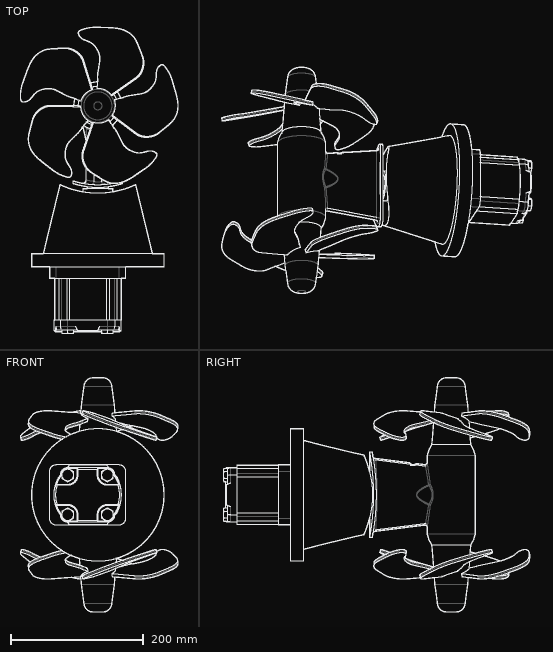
import cadquery as cq
import math


POD_RADIUS = 36.4
POD_STRAIGHT_Z = 59.0
SHOULDER_Z = 75.6
SHOULDER_RADIUS = 29.6
SHOULDER_BULGE = 1.0
NOSE_CONE_Z = 135.3
NOSE_CONE_RADIUS = 25.0
NOSE_ROUND_Z = 163.4
NOSE_ROUND_RADIUS = 21.2
POD_TIP_Z = 176.8
POD_TIP_RADIUS = 6.1

BLADE_COUNT = 5
BLADE_PITCH = 19.6
BLADE_RAKE = 4.0
BLADE_THICKNESS = 5.0
BLADE_MID_Z = 119.5
BLADE_START_ANGLE = 180.0

STRUT_HALF_WIDTH = 18.0
STRUT_ROOT_Y = -10.0
STRUT_ROOT_HALF_HEIGHT = 42.0
STRUT_END_Y = -120.0
STRUT_END_HALF_HEIGHT = 55.8
STRUT_NOSE_HALF_WIDTH = 5.5
STRUT_NOSE_HEIGHT = 2.3
STRUT_POD_FILLET = 3.0

JOINT_MARGIN = 2.0
SADDLE_JOINT_DEPTH = 10.0

HOUSING_ROOT_Y = -10.0
HOUSING_ROOT_RADIUS = 27.5
HOUSING_END_Y = -60.0
HOUSING_END_RADIUS = 16.2

PLUG_Y = -58.0
PLUG_RADIUS = 5.5
PLUG_BOTTOM_Z = 40.0
PLUG_CONE_HEIGHT = 4.0

TUNNEL_RADIUS = 131.5
SADDLE_OUTER_RADIUS = 123.0
SADDLE_THICKNESS = 4.0
SADDLE_HALF_WIDTH = 37.5
SADDLE_HALF_HEIGHT = 64.6
SADDLE_FILLET = 5.0
NECK_RADIUS = 16.0
STUB_RADIUS = 22.5
STUB_START_Y = -124.8

BRACKET_PLATE_RADIUS = 100.0
BRACKET_PLATE_THICKNESS = 20.0
BRACKET_FACE_Y = -242.5
BRACKET_CONE_BASE_RADIUS = 82.3
BRACKET_CONE_SLOPE = 0.243

MOTOR_X = -15.5
MOUNT_WIDTH = 114.6
MOUNT_HEIGHT = 90.8
MOUNT_THICKNESS = 17.5
MOUNT_CORNER_RADIUS = 10.0
CASE_SHIFT_X = 0.7
CASE_LENGTH = 63.0
CASE_HALF_WIDTH = 50.2
CASE_HALF_HEIGHT = 45.0
CASE_FLAT_HALF_WIDTH = 28.2
CASE_LOBE_TOP = (32.0, 39.4)
CASE_LOBE_SIDE = (39.6, 32.5)
CASE_GROOVE_MID = (41.3, 29.2)
CASE_GROOVE_END = (43.6, 27.0)
CAP_RADIUS = 50.8
CAP_HALF_HEIGHT = 41.0
CAP_LENGTH = 17.5
CAP_RIM_LENGTH = 1.7
CAP_RIM_TAPER = 58.0
BOLT_OFFSET = 29.9
BOLT_LOBE_RADIUS = CAP_HALF_HEIGHT - BOLT_OFFSET
BOLT_ACROSS_FLATS = 17.6
BOLT_CHAMFER = 0.8
BOLT_END_Y = -343.3
POCKET_DEPTH = 3.0
POCKET_SHOULDER_LENGTH = 5.0
POCKET_SHOULDER_TAPER = 16.0
POCKET_RADIUS = 12.0
POCKET_DRAFT = 23.0


def pod():
    """Closed revolved pod with a shoulder, tapered hub and rounded nose at both ends."""
    shoulder_mid = (
        (POD_RADIUS + SHOULDER_RADIUS) / 2 + SHOULDER_BULGE,
        (SHOULDER_Z - POD_STRAIGHT_Z) / 2,
    )
    nose_width = NOSE_ROUND_RADIUS - POD_TIP_RADIUS
    nose_height = POD_TIP_Z - NOSE_ROUND_Z
    nose_mid = (
        POD_TIP_RADIUS + nose_width * math.sqrt(0.5),
        NOSE_ROUND_Z - POD_STRAIGHT_Z + nose_height * math.sqrt(0.5),
    )
    end = (
        cq.Workplane("XZ", origin=(0, 0, POD_STRAIGHT_Z))
        .lineTo(POD_RADIUS, 0)
        .threePointArc(shoulder_mid, (SHOULDER_RADIUS, SHOULDER_Z - POD_STRAIGHT_Z))
        .lineTo(NOSE_CONE_RADIUS, NOSE_CONE_Z - POD_STRAIGHT_Z)
        .lineTo(NOSE_ROUND_RADIUS, NOSE_ROUND_Z - POD_STRAIGHT_Z)
        .threePointArc(nose_mid, (POD_TIP_RADIUS, POD_TIP_Z - POD_STRAIGHT_Z))
        .lineTo(0, POD_TIP_Z - POD_STRAIGHT_Z)
        .close()
        .revolve(360, (0, 0, 0), (0, 1, 0))
    )
    barrel = cq.Workplane("XY").circle(POD_RADIUS).extrude(POD_STRAIGHT_Z, both=True)
    return barrel.union(end).union(end.mirror("XY"))


def blade(angle):
    """One flat blade, pitched and raked outward; outline points are (along, across) its radius."""
    stretch = 1 / math.cos(math.radians(BLADE_PITCH))
    root_lead = (10.0, 1.0)
    root_trail = (10.0, 16.0)
    lead_edge_end = (69.1, 0.0)
    tip_edge = [
        (86.4, 4.9),
        (96.5, 16.8),
        (100.3, 30.9),
        (103.8, 50.5),
        (98.1, 68.1),
        (77.6, 87.7),
        (56.0, 102.5),
        (48.2, 105.6),
        (39.0, 106.2),
        (37.0, 101.5),
        (45.2, 83.8),
        (47.6, 72.1),
        (43.8, 56.3),
        (35.4, 46.6),
        (22.1, 30.9),
    ]

    def on_blade(point):
        return (point[0], point[1] * stretch)

    flat = (
        cq.Workplane("XY")
        .moveTo(*on_blade(root_lead))
        .lineTo(*on_blade(lead_edge_end))
        .spline([on_blade(point) for point in tip_edge], includeCurrent=True)
        .lineTo(*on_blade(root_trail))
        .close()
        .extrude(BLADE_THICKNESS / 2, both=True)
    )
    pitched = flat.rotate((0, 0, 0), (1, 0, 0), -BLADE_PITCH)
    raked = pitched.rotate((0, 0, 0), (0, 1, 0), -BLADE_RAKE)
    return raked.translate((0, 0, BLADE_MID_Z)).rotate((0, 0, 0), (0, 0, 1), angle)


def y_cylinder(radius, start_y, end_y):
    """Round bar on the Y axis from start_y down to end_y."""
    return cq.Workplane("XZ", origin=(0, start_y, 0)).circle(radius).extrude(start_y - end_y)


def y_cone(start_radius, start_y, end_radius, end_y):
    """Truncated cone on the Y axis."""
    return (
        cq.Workplane("XY")
        .moveTo(0, start_y)
        .lineTo(start_radius, start_y)
        .lineTo(end_radius, end_y)
        .lineTo(0, end_y)
        .close()
        .revolve(360, (0, 0, 0), (0, 1, 0))
    )


def saddle():
    """Oval plate bent around the tunnel axis."""
    oval = (
        cq.Workplane("XZ")
        .ellipse(SADDLE_HALF_WIDTH, SADDLE_HALF_HEIGHT)
        .extrude(TUNNEL_RADIUS)
    )
    shell = (
        cq.Workplane("XY")
        .circle(SADDLE_OUTER_RADIUS)
        .circle(SADDLE_OUTER_RADIUS - SADDLE_THICKNESS)
        .extrude(TUNNEL_RADIUS, both=True)
    )
    return oval.intersect(shell)


def strut_section(plane, half_height):
    """Lens-shaped section with a narrow rounded nose at the top and bottom."""
    nose_z = half_height - STRUT_NOSE_HEIGHT
    nose_x = STRUT_NOSE_HALF_WIDTH
    return (
        plane.moveTo(-nose_x, nose_z)
        .threePointArc((0, half_height), (nose_x, nose_z))
        .threePointArc((STRUT_HALF_WIDTH, 0), (nose_x, -nose_z))
        .threePointArc((0, -half_height), (-nose_x, -nose_z))
        .threePointArc((-STRUT_HALF_WIDTH, 0), (-nose_x, nose_z))
        .close()
    )


def strut():
    """Lens-shaped strut that grows taller toward the saddle plate."""
    root = strut_section(cq.Workplane("XZ", origin=(0, STRUT_ROOT_Y, 0)), STRUT_ROOT_HALF_HEIGHT)
    end_plane = root.workplane(offset=STRUT_ROOT_Y - STRUT_END_Y)
    return strut_section(end_plane, STRUT_END_HALF_HEIGHT).loft(ruled=True)


def plug_hole():
    """Drilled hole with a pointed bottom, open toward +Z."""
    top_z = STRUT_END_HALF_HEIGHT
    return (
        cq.Workplane("XZ")
        .moveTo(0, PLUG_BOTTOM_Z)
        .lineTo(PLUG_RADIUS, PLUG_BOTTOM_Z + PLUG_CONE_HEIGHT)
        .lineTo(PLUG_RADIUS, top_z)
        .lineTo(0, top_z)
        .close()
        .revolve(360, (0, 0, 0), (0, 1, 0))
        .translate((0, PLUG_Y, 0))
    )


def bracket():
    """Round plate and cone, the cone end hollowed to sit on the tunnel."""
    shoulder_y = BRACKET_FACE_Y + BRACKET_PLATE_THICKNESS
    cone_length = TUNNEL_RADIUS
    tip_radius = BRACKET_CONE_BASE_RADIUS - BRACKET_CONE_SLOPE * cone_length
    cone = y_cone(tip_radius, shoulder_y + cone_length, BRACKET_CONE_BASE_RADIUS, shoulder_y)
    tunnel = cq.Workplane("XY").circle(TUNNEL_RADIUS).extrude(BRACKET_PLATE_RADIUS, both=True)
    return cone.cut(tunnel).union(y_cylinder(BRACKET_PLATE_RADIUS, shoulder_y, BRACKET_FACE_Y))


def thruster_body():
    neck_start_y = -(SADDLE_OUTER_RADIUS - SADDLE_THICKNESS / 2)
    shoulder_y = BRACKET_FACE_Y + BRACKET_PLATE_THICKNESS
    housing = y_cone(HOUSING_ROOT_RADIUS, HOUSING_ROOT_Y, HOUSING_END_RADIUS, HOUSING_END_Y)
    leg = strut().union(saddle())
    saddle_joint = cq.selectors.BoxSelector(
        (-STRUT_HALF_WIDTH - JOINT_MARGIN, STRUT_END_Y - JOINT_MARGIN, -STRUT_END_HALF_HEIGHT),
        (STRUT_HALF_WIDTH + JOINT_MARGIN, STRUT_END_Y + SADDLE_JOINT_DEPTH, STRUT_END_HALF_HEIGHT),
        boundingbox=True,
    )
    leg = leg.edges(saddle_joint).fillet(SADDLE_FILLET)
    body = pod().union(leg).union(housing)
    pod_joint = cq.selectors.BoxSelector(
        (-HOUSING_ROOT_RADIUS, HOUSING_END_Y, -POD_STRAIGHT_Z + JOINT_MARGIN),
        (HOUSING_ROOT_RADIUS, HOUSING_ROOT_Y - JOINT_MARGIN, POD_STRAIGHT_Z - JOINT_MARGIN),
        boundingbox=True,
    )
    body = body.edges(pod_joint).fillet(STRUT_POD_FILLET)
    body = body.cut(plug_hole())
    body = body.union(y_cylinder(NECK_RADIUS, neck_start_y, shoulder_y))
    body = body.union(y_cylinder(STUB_RADIUS, STUB_START_Y, shoulder_y)).union(bracket())
    for index in range(BLADE_COUNT):
        upper = blade(BLADE_START_ANGLE + index * 360 / BLADE_COUNT)
        body = body.union(upper).union(upper.mirror("XY"))
    return body


def motor_plane(y):
    return cq.Workplane("XZ", origin=(MOTOR_X, y, 0))


def bolt_corners():
    return [(x, z) for x in (-BOLT_OFFSET, BOLT_OFFSET) for z in (-BOLT_OFFSET, BOLT_OFFSET)]


def case():
    """Pump case with raised top and bottom flats and grooves between the bolt lobes and round sides."""

    def corner(point, side_x, side_z):
        return (side_x * point[0], side_z * point[1])

    start_y = BRACKET_FACE_Y - MOUNT_THICKNESS
    lobe_radius = math.dist(CASE_LOBE_SIDE, (BOLT_OFFSET, BOLT_OFFSET))
    lobe_reach = BOLT_OFFSET + lobe_radius * math.sqrt(0.5)
    lobe_mid = (lobe_reach, lobe_reach)
    flat_end = (CASE_FLAT_HALF_WIDTH, CASE_HALF_HEIGHT)
    outline = motor_plane(start_y).center(CASE_SHIFT_X, 0).moveTo(*corner(flat_end, -1, 1))
    for side in (1, -1):
        outline = (
            outline.lineTo(*corner(flat_end, side, side))
            .lineTo(*corner(CASE_LOBE_TOP, side, side))
            .threePointArc(corner(lobe_mid, side, side), corner(CASE_LOBE_SIDE, side, side))
            .threePointArc(corner(CASE_GROOVE_MID, side, side), corner(CASE_GROOVE_END, side, side))
            .threePointArc((side * CASE_HALF_WIDTH, 0), corner(CASE_GROOVE_END, side, -side))
            .threePointArc(corner(CASE_GROOVE_MID, side, -side), corner(CASE_LOBE_SIDE, side, -side))
            .threePointArc(corner(lobe_mid, side, -side), corner(CASE_LOBE_TOP, side, -side))
            .lineTo(*corner(flat_end, side, -side))
        )
    return outline.close().extrude(CASE_LENGTH)


def cap_section(start_y, length, inward_taper=0):
    """Round cap outline with flats at top and bottom and a lobe round each bolt."""
    bolt_circle = BOLT_OFFSET * math.sqrt(2)
    chord_distance = (CAP_RADIUS**2 - BOLT_LOBE_RADIUS**2 + bolt_circle**2) / (2 * bolt_circle)
    notch_angle = math.pi / 4 - math.acos(chord_distance / CAP_RADIUS)
    notch_x = CAP_RADIUS * math.cos(notch_angle)
    notch_z = CAP_RADIUS * math.sin(notch_angle)
    lobe_mid = BOLT_OFFSET + BOLT_LOBE_RADIUS * math.sqrt(0.5)
    return (
        motor_plane(start_y)
        .moveTo(-BOLT_OFFSET, CAP_HALF_HEIGHT)
        .lineTo(BOLT_OFFSET, CAP_HALF_HEIGHT)
        .threePointArc((lobe_mid, lobe_mid), (notch_x, notch_z))
        .threePointArc((CAP_RADIUS, 0), (notch_x, -notch_z))
        .threePointArc((lobe_mid, -lobe_mid), (BOLT_OFFSET, -CAP_HALF_HEIGHT))
        .lineTo(-BOLT_OFFSET, -CAP_HALF_HEIGHT)
        .threePointArc((-lobe_mid, -lobe_mid), (-notch_x, -notch_z))
        .threePointArc((-CAP_RADIUS, 0), (-notch_x, notch_z))
        .threePointArc((-lobe_mid, lobe_mid), (-BOLT_OFFSET, CAP_HALF_HEIGHT))
        .close()
        .extrude(length, taper=inward_taper)
    )


def bolt_pocket(x, z, cap_end_y):
    """Space round one bolt: drafted walls, open to the outside of the cap."""
    depth = POCKET_DEPTH + POCKET_SHOULDER_LENGTH
    outer_x = x + math.copysign(CAP_RADIUS, x)
    outer_z = z + math.copysign(CAP_RADIUS, z)
    inner_x = x - math.copysign(POCKET_RADIUS, x)
    inner_z = z - math.copysign(POCKET_RADIUS, z)
    arc_x = x - math.copysign(POCKET_RADIUS * math.sqrt(0.5), x)
    arc_z = z - math.copysign(POCKET_RADIUS * math.sqrt(0.5), z)
    return (
        motor_plane(cap_end_y + depth)
        .moveTo(inner_x, outer_z)
        .lineTo(inner_x, z)
        .threePointArc((arc_x, arc_z), (x, inner_z))
        .lineTo(outer_x, inner_z)
        .lineTo(outer_x, outer_z)
        .close()
        .extrude(depth, taper=-POCKET_DRAFT)
    )


def bolt_head(x, z, floor_y):
    """Hexagon head with corners up and down and a chamfered outer rim."""
    length = floor_y - BOLT_END_Y
    across_corners = BOLT_ACROSS_FLATS / math.cos(math.pi / 6)
    hexagon = (
        motor_plane(floor_y)
        .center(x, z)
        .transformed(rotate=(0, 0, 90))
        .polygon(6, across_corners)
        .extrude(length)
    )
    rim = motor_plane(floor_y).center(x, z).circle(across_corners / 2).extrude(length)
    rim_inset = (across_corners - BOLT_ACROSS_FLATS) / 2
    return hexagon.intersect(rim.faces("<Y").chamfer(BOLT_CHAMFER, rim_inset))


def motor_body():
    mount_end_y = BRACKET_FACE_Y - MOUNT_THICKNESS
    case_end_y = mount_end_y - CASE_LENGTH
    cap_end_y = case_end_y - CAP_LENGTH
    body = (
        motor_plane(BRACKET_FACE_Y)
        .rect(MOUNT_WIDTH, MOUNT_HEIGHT)
        .extrude(MOUNT_THICKNESS)
        .edges("|Y")
        .fillet(MOUNT_CORNER_RADIUS)
    )
    cap = cap_section(case_end_y, CAP_LENGTH - CAP_RIM_LENGTH)
    cap = cap.union(cap_section(cap_end_y + CAP_RIM_LENGTH, CAP_RIM_LENGTH, CAP_RIM_TAPER))
    floor_y = cap_end_y + POCKET_DEPTH
    shoulder_y = floor_y + POCKET_SHOULDER_LENGTH
    shoulders = cap_section(shoulder_y, POCKET_SHOULDER_LENGTH, POCKET_SHOULDER_TAPER)
    for x, z in bolt_corners():
        pocket = bolt_pocket(x, z, cap_end_y)
        cap = cap.cut(pocket).union(shoulders.intersect(pocket))
        cap = cap.union(bolt_head(x, z, floor_y))
    return body.union(case()).union(cap)


thruster = thruster_body()
motor = motor_body()
result = cq.Compound.makeCompound([thruster.val(), motor.val()])